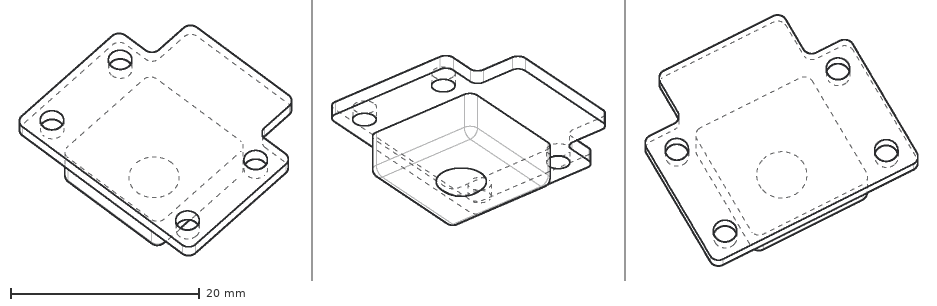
import cadquery as cq

plate_width = 25.0
plate_length = 22.15
plate_thickness = 1.6
body_length = 16.25
tab_width = 15.2
corner_radius = 1.0

hole_diameter = 2.5
hole_spacing_x = 19.5
hole_spacing_y = 10.75

housing_size = 14.0
housing_bottom = 6.7

total_height = 7.95
ball_opening_diameter = 5.35

body_center_y = body_length / 2


def make_plate():
    """T-shaped plate with all vertical corners rounded; its top lies at Z = 0."""
    main = cq.Workplane("XY").box(plate_width, body_length, plate_thickness, centered=(True, False, False))
    tab = cq.Workplane("XY").box(tab_width, plate_length, plate_thickness, centered=(True, False, False))
    plate = main.union(tab, clean=True).edges("|Z").fillet(corner_radius)
    holes = (
        cq.Workplane("XY")
        .center(0, body_center_y)
        .rect(hole_spacing_x, hole_spacing_y, forConstruction=True)
        .vertices()
        .circle(hole_diameter / 2)
        .extrude(plate_thickness)
    )
    return plate.cut(holes).translate((0, 0, -plate_thickness))


def make_housing():
    """Square block with rounded sides and a rounded bottom rim."""
    return (
        cq.Workplane("XY")
        .center(0, body_center_y)
        .rect(housing_size, housing_size)
        .extrude(-housing_bottom)
        .edges("|Z or <Z")
        .fillet(corner_radius)
        .cut(cq.Workplane("XY").box(plate_width, 2 * plate_length, 2 * plate_thickness))
    )


def make_ball():
    """Sphere whose cap protrudes from the opening in the housing."""
    cap_height = total_height - housing_bottom
    opening_radius = ball_opening_diameter / 2
    radius = (opening_radius**2 + cap_height**2) / (2 * cap_height)
    return cq.Workplane("XY").sphere(radius).translate((0, body_center_y, radius - total_height))


result = make_plate().union(make_housing()).union(make_ball())